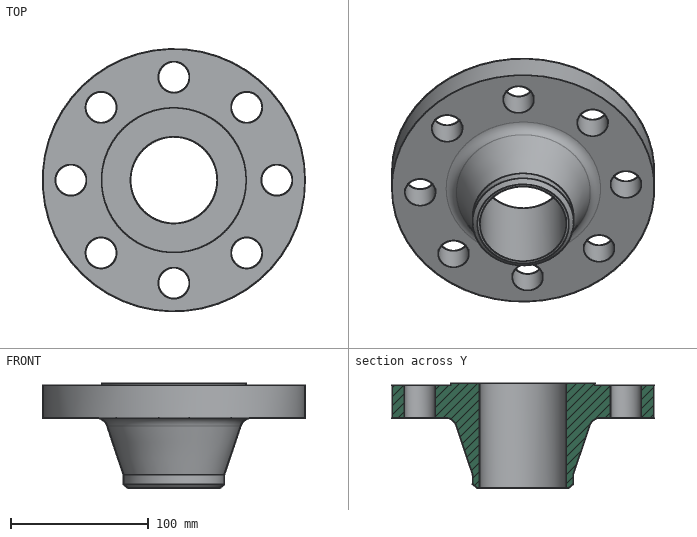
import cadquery as cq

flange_diameter = 190.5
total_height = 76.2
flange_thickness = 23.8
raised_face_height = 1.5
raised_face_diameter = 105.0
bore_diameter = 62.7

weld_end_diameter = 73.3
weld_end_height = 10.0
bevel_height = 2.9
bevel_width = 3.5
neck_top_diameter = 97.2
root_fillet_height = 5.5
root_diameter = 112.0

bolt_count = 8
bolt_hole_diameter = 22.3
bolt_circle_diameter = 149.4

flange_top = total_height - raised_face_height
flange_bottom = flange_top - flange_thickness
neck_top = flange_bottom - root_fillet_height
weld_radius = weld_end_diameter / 2
neck_top_radius = neck_top_diameter / 2



def make_body():
    """Revolve the half section of flange, raised face and neck about Z."""
    return (
        cq.Workplane("XZ")
        .lineTo(weld_radius - bevel_width, 0)
        .lineTo(weld_radius, bevel_height)
        .lineTo(weld_radius, weld_end_height)
        .lineTo(neck_top_radius, neck_top)
        .tangentArcPoint((root_diameter / 2, flange_bottom), relative=False)
        .lineTo(flange_diameter / 2, flange_bottom)
        .lineTo(flange_diameter / 2, flange_top)
        .lineTo(raised_face_diameter / 2, flange_top)
        .lineTo(raised_face_diameter / 2, total_height)
        .lineTo(0, total_height)
        .close()
        .revolve(360, (0, 0), (0, 1))
    )


def make_bore():
    return cq.Workplane("XY").circle(bore_diameter / 2).extrude(total_height)


def make_bolt_holes():
    return (
        cq.Workplane("XY")
        .workplane(offset=flange_bottom)
        .polarArray(bolt_circle_diameter / 2, 0, 360, bolt_count)
        .circle(bolt_hole_diameter / 2)
        .extrude(flange_thickness)
    )


result = make_body().cut(make_bore()).cut(make_bolt_holes())